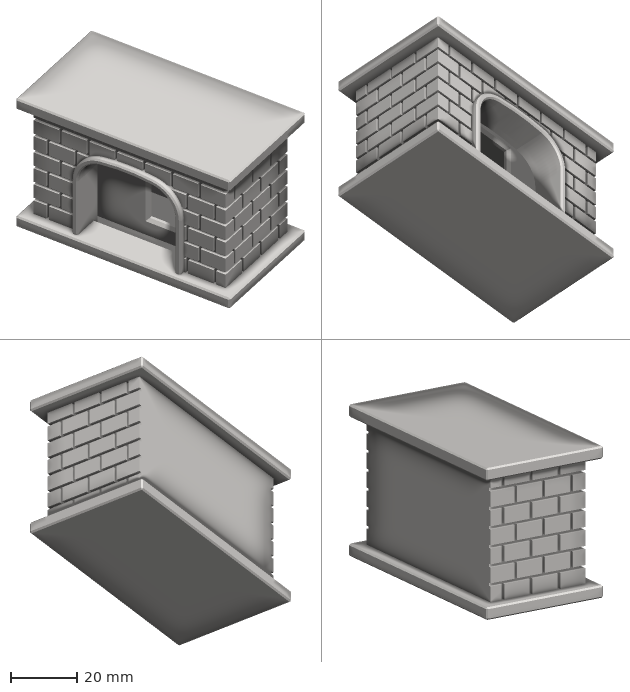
import cadquery as cq
import math

LENGTH = 77.0
DEPTH = 42.0
HEIGHT = 48.0
SLAB_THICKNESS = 4.0
SLAB_CHAMFER = 0.5
FLOOR_Z = SLAB_THICKNESS
CEILING_Z = HEIGHT - SLAB_THICKNESS

BRICK_LENGTH = 9.0
BRICK_HEIGHT = 5.0
JOINT = 1.0
WALL_WIDTH = 69.0
WALL_DEPTH = 34.0
COURSE_PITCH = BRICK_HEIGHT + JOINT
COURSES = math.ceil((CEILING_Z - FLOOR_Z) / COURSE_PITCH)
WALL_FRONT = -WALL_DEPTH / 2
WALL_REAR = WALL_DEPTH / 2
CORE_WIDTH = WALL_WIDTH - 2 * JOINT
CORE_FRONT = WALL_FRONT + JOINT

OPENING_HALF_WIDTH = 17.5
LEG_HEIGHT = 20.0
ARCH_RISE = 10.0
HAUNCH_RADIUS = 9.5
SURROUND_THICKNESS = 2.0
SURROUND_CHAMFER = 0.5
SURROUND_PROJECTION = 2.0
SURROUND_FRONT = WALL_FRONT - SURROUND_PROJECTION
SPRING_Z = FLOOR_Z + LEG_HEIGHT

CAVITY_FRONT = -10.0
CAVITY_REAR = 15.0
CAVITY_WIDTH = 56.05

INSERT_FLOOR = 1.0
FRAME_THICKNESS = 2.0
PANEL_THICKNESS = 2.0
PANEL_FRONT = -4.0
WINDOW_WIDTH = 12.0
WINDOW_CENTER_X = 4.15
WINDOW_BOTTOM = 7.0
WINDOW_TOP = 36.95
WINDOW_CHAMFER = 1.0


def block(x_range, y_range, z_range):
    """Axis-aligned box given by its limits along X, Y and Z."""
    size = [high - low for low, high in (x_range, y_range, z_range)]
    corner = (x_range[0], y_range[0], z_range[0])
    return cq.Workplane("XY").box(*size, centered=False).translate(corner)


def centered_block(width, y_range, z_range):
    """Box of the given width, symmetric about X = 0."""
    return block((-width / 2, width / 2), y_range, z_range)


def slab(bottom_z):
    """Base or mantel slab with every edge chamfered."""
    plate = cq.Workplane("XY").box(LENGTH, DEPTH, SLAB_THICKNESS, centered=(True, True, False))
    return plate.edges().chamfer(SLAB_CHAMFER).translate((0, 0, bottom_z))


def arch_prism(offset, y_range, bottom_z):
    """Solid with the outline of the opening grown by `offset`, between two Y planes."""
    half_width = OPENING_HALF_WIDTH + offset
    rise = ARCH_RISE + offset
    haunch = HAUNCH_RADIUS + offset
    haunch_x = half_width - haunch
    crown = (haunch_x**2 + rise**2 - haunch**2) / (2 * (rise - haunch))
    crown_z = SPRING_Z + rise - crown
    tangent_angle = math.atan2(crown - rise, haunch_x)
    middle_angle = tangent_angle / 2

    def haunch_point(angle):
        return haunch_x + haunch * math.cos(angle), SPRING_Z + haunch * math.sin(angle)

    middle = haunch_point(middle_angle)
    tangent = haunch_point(tangent_angle)
    outline = (
        cq.Workplane("XZ", origin=(0, y_range[1], 0))
        .moveTo(-half_width, bottom_z)
        .lineTo(half_width, bottom_z)
        .lineTo(half_width, SPRING_Z)
        .threePointArc(middle, tangent)
        .threePointArc((0, crown_z + crown), (-tangent[0], tangent[1]))
        .threePointArc((-middle[0], middle[1]), (-half_width, SPRING_Z))
        .close()
    )
    return outline.extrude(y_range[1] - y_range[0])


def brick_spans(start, end, first_length):
    """Limits of the bricks in one course, the first of them `first_length` long."""
    spans = []
    low = start
    high = start + first_length
    while low < end:
        spans.append((low, min(high, end)))
        low = high + JOINT
        high = low + BRICK_LENGTH
    return spans


def brickwork():
    """Raised bricks in running bond on the front and both ends."""
    half_brick = BRICK_LENGTH / 2
    front_layer = (WALL_FRONT, CORE_FRONT)
    side_layer = (CORE_WIDTH / 2, WALL_WIDTH / 2)
    opposite_layer = (-WALL_WIDTH / 2, -CORE_WIDTH / 2)
    bricks = []
    for course in range(COURSES):
        bottom = FLOOR_Z + course * COURSE_PITCH
        z_range = (bottom, min(bottom + BRICK_HEIGHT, CEILING_Z))
        if course % 2 == 0:
            front_first, side_first = half_brick, BRICK_LENGTH
        else:
            front_first, side_first = BRICK_LENGTH, half_brick
        for x_range in brick_spans(-WALL_WIDTH / 2, WALL_WIDTH / 2, front_first):
            bricks.append(block(x_range, front_layer, z_range))
        for y_range in brick_spans(WALL_FRONT, WALL_REAR, side_first):
            bricks.append(block(side_layer, y_range, z_range))
            bricks.append(block(opposite_layer, y_range, z_range))
    return bricks


def surround():
    """Arched trim standing out of the front wall, chamfered along both front edges."""
    y_range = (SURROUND_FRONT, CAVITY_FRONT)
    outer = arch_prism(SURROUND_THICKNESS, y_range, FLOOR_Z)
    trim = outer.cut(arch_prism(0, y_range, FLOOR_Z))
    return trim.faces("<Y").edges("not |X").chamfer(SURROUND_CHAMFER)


def make_fireplace():
    """Brick housing with its slabs and surround, hollowed for the opening and the insert."""
    core = centered_block(CORE_WIDTH, (CORE_FRONT, WALL_REAR), (FLOOR_Z, CEILING_Z))
    parts = [slab(0).val(), slab(CEILING_Z).val()] + [brick.val() for brick in brickwork()]
    body = cq.Workplane(core.val().fuse(*parts).clean())
    body = body.cut(arch_prism(0, (WALL_FRONT, CAVITY_FRONT), FLOOR_Z))
    body = body.union(surround())
    return body.cut(centered_block(CAVITY_WIDTH, (CAVITY_FRONT, CAVITY_REAR), (0, CEILING_Z)))


def window_cutter():
    """Window hole flaring out at 45 degrees on the front of the panel."""
    half_width = WINDOW_WIDTH / 2
    hole = block(
        (WINDOW_CENTER_X - half_width, WINDOW_CENTER_X + half_width),
        (PANEL_FRONT, PANEL_FRONT + PANEL_THICKNESS),
        (WINDOW_BOTTOM, WINDOW_TOP),
    )
    flare = (
        hole.faces("<Y")
        .workplane(offset=-WINDOW_CHAMFER, centerOption="CenterOfBoundBox")
        .rect(WINDOW_WIDTH, WINDOW_TOP - WINDOW_BOTTOM)
        .workplane(offset=WINDOW_CHAMFER)
        .rect(WINDOW_WIDTH + 2 * WINDOW_CHAMFER, WINDOW_TOP - WINDOW_BOTTOM + 2 * WINDOW_CHAMFER)
        .loft(combine=False)
    )
    return hole.union(flare)


def make_insert():
    """Bottom plate carrying an arched front frame and a panel with the window."""
    bottom = centered_block(CAVITY_WIDTH, (CAVITY_FRONT, CAVITY_REAR), (0, INSERT_FLOOR))
    frame_range = (CAVITY_FRONT, CAVITY_FRONT + FRAME_THICKNESS)
    frame = centered_block(CAVITY_WIDTH, frame_range, (INSERT_FLOOR, CEILING_Z))
    frame = frame.cut(arch_prism(0, frame_range, INSERT_FLOOR))
    panel_range = (PANEL_FRONT, PANEL_FRONT + PANEL_THICKNESS)
    panel = centered_block(CAVITY_WIDTH, panel_range, (INSERT_FLOOR, CEILING_Z))
    return bottom.union(frame).union(panel.cut(window_cutter()))


fireplace = make_fireplace()
insert = make_insert()
result = cq.Compound.makeCompound([fireplace.solids().val(), insert.solids().val()])